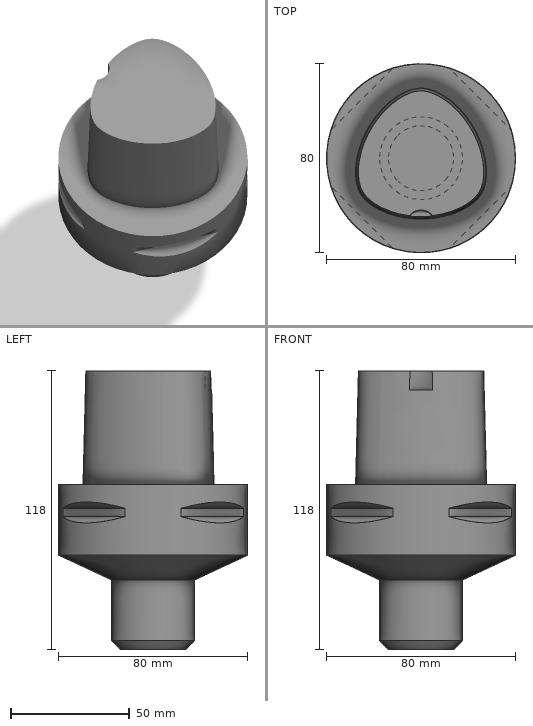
import cadquery as cq
import math

total_height = 118.0
flange_diameter = 80.0
flange_bottom = 40.0
flange_top = 70.0
shank_diameter = 35.0
shank_top = 29.5
tip_chamfer = 3.8

polygon_base_width = 55.5
taper_ratio = 1 / 20
lobe_eccentricity = 3.9
lobe_half_angle = 33.0
points_per_segment = 9
lobe_count = 3

notch_radius = 5.9
notch_back_y = -22.0
notch_depth = 8.1

groove_middle_z = 58.0
groove_floor_distance = 35.4
groove_floor_height = 3.5
groove_flank_angle = 30.0
groove_count = 4
cutter_clearance = 1.2


def turned_body():
    flange_radius = flange_diameter / 2
    shank_radius = shank_diameter / 2
    return (
        cq.Workplane("XZ")
        .moveTo(0, 0)
        .lineTo(shank_radius - tip_chamfer, 0)
        .lineTo(shank_radius, tip_chamfer)
        .lineTo(shank_radius, shank_top)
        .lineTo(flange_radius, flange_bottom)
        .lineTo(flange_radius, flange_top)
        .lineTo(0, flange_top)
        .close()
        .revolve(360, (0, 0), (0, 1))
    )


def polygon_point(width, normal_angle, z):
    """Point of the constant-width curve whose outward normal has this angle; a lobe points to +Y."""
    angle = normal_angle - math.pi / 2
    e = lobe_eccentricity
    along_lobe = width / 2 * math.cos(angle) + e * math.cos(2 * angle) - e / 2 * math.cos(4 * angle)
    across_lobe = width / 2 * math.sin(angle) - e * math.sin(2 * angle) - e / 2 * math.sin(4 * angle)
    return cq.Vector(-across_lobe, along_lobe, z)


def polygon_segment(width, start_degrees, end_degrees, z):
    """Spline along part of the curve, tangent to the curve at both ends."""
    start = math.radians(start_degrees)
    end = math.radians(end_degrees)
    step = (end - start) / (points_per_segment - 1)
    points = [polygon_point(width, start + i * step, z) for i in range(points_per_segment)]
    tangents = [cq.Vector(-math.sin(a), math.cos(a), 0) for a in (start, end)]
    return cq.Edge.makeSpline(points, tangents=tangents)


def polygon_wire(width, z):
    pitch = 360 / lobe_count
    edges = []
    for lobe in range(lobe_count):
        lobe_middle = 90 + lobe * pitch
        lobe_start = lobe_middle - lobe_half_angle
        lobe_end = lobe_middle + lobe_half_angle
        edges.append(polygon_segment(width, lobe_start, lobe_end, z))
        edges.append(polygon_segment(width, lobe_end, lobe_start + pitch, z))
    return cq.Wire.assembleEdges(edges)


def polygon_shank():
    end_width = polygon_base_width - taper_ratio * (total_height - flange_top)
    base = polygon_wire(polygon_base_width, flange_top)
    end = polygon_wire(end_width, total_height)
    return cq.Workplane(cq.Solid.makeLoft([base, end], True))


def end_notch():
    return (
        cq.Workplane("XY", origin=(0, notch_back_y - notch_radius, total_height - notch_depth))
        .circle(notch_radius)
        .extrude(notch_depth)
    )


def gripper_groove():
    """Trapezoidal groove cutter on the +X side, running along Y."""
    outer_distance = flange_diameter / 2 + cutter_clearance
    flank_rise = (outer_distance - groove_floor_distance) * math.tan(math.radians(groove_flank_angle))
    floor_half = groove_floor_height / 2
    mouth_half = floor_half + flank_rise
    return (
        cq.Workplane("XZ", origin=(0, 0, groove_middle_z))
        .moveTo(groove_floor_distance, -floor_half)
        .lineTo(outer_distance, -mouth_half)
        .lineTo(outer_distance, mouth_half)
        .lineTo(groove_floor_distance, floor_half)
        .close()
        .extrude(flange_diameter / 2, both=True)
    )


result = turned_body().union(polygon_shank()).cut(end_notch())
for index in range(groove_count):
    groove_angle = (index + 0.5) * 360 / groove_count
    result = result.cut(gripper_groove().rotate((0, 0, 0), (0, 0, 1), groove_angle))